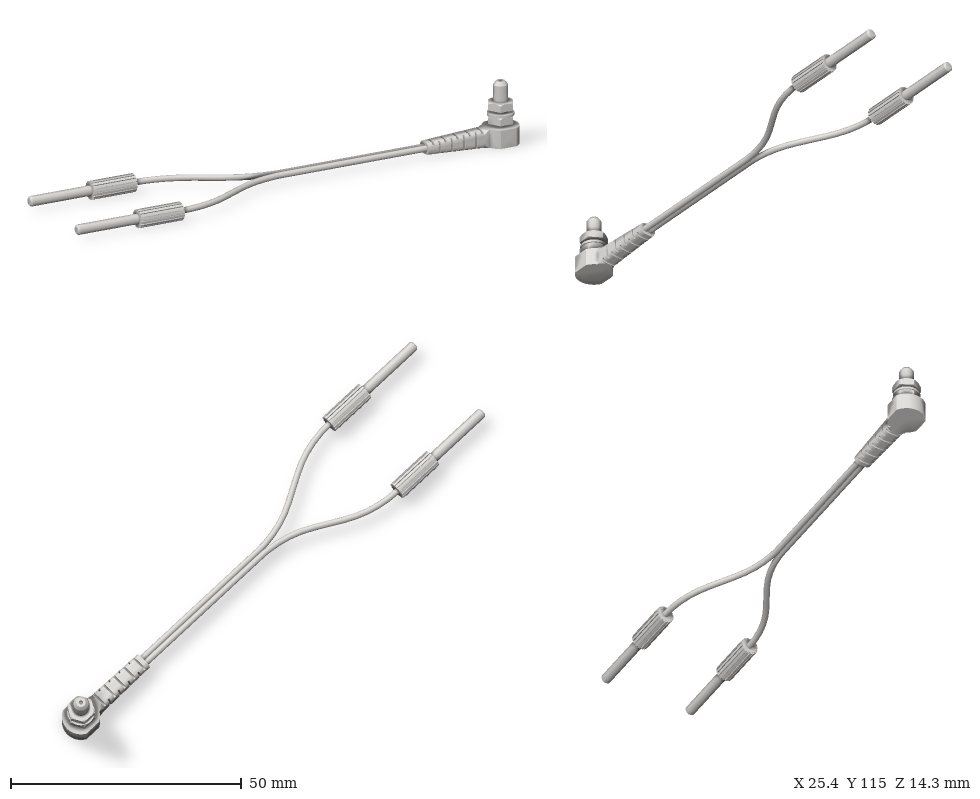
import cadquery as cq
import math


total_length = 115.0
head_radius = 4.1
head_half_height = 2.1
head_flat_x = 3.7

stud_radius = 1.6
stud_top_z = 12.2
stud_shoulder_radius = 1.4
stud_shoulder_z = 11.7
stud_tip_radius = 1.0
stud_taper_start_z = 11.4
stud_tip_hole_radius = 0.5
stud_tip_hole_depth = 0.8
nut_across_flats = 5.4
nut_height = 1.7
nut_chamfer_radius = 2.8
nut_chamfer_height = 0.3
washer_radius = 3.0
washer_height = 0.6
lower_nut_z = 2.8
upper_nut_z = 5.9
washer_z = lower_nut_z + nut_height

boot_half_width = 2.0
boot_start_y = -5.1
boot_end_y = -18.9
boot_end_half_height = 1.4
boot_start_corner_radius = 1.0
boot_end_corner_radius = 1.3
neck_taper_length = 1.1
neck_end_radius = 2.2
slot_width = 0.5
slot_depth = 0.7
slot_pitch = 3.0
top_slot_count = 5
side_slot_count = top_slot_count - 1
first_top_slot_y = -5.5
first_side_slot_y = first_top_slot_y - slot_pitch / 2

wire_radius = 0.7
wire_offset = 0.63
split_y = -53.7
wire_bend_radius = 26.1

plug_offset = 10.6
sleeve_radius = 2.1
sleeve_start_y = -85.1
sleeve_end_y = -95.8
flute_count = 16
flute_width = 0.2
flute_depth = 0.3
pin_radius = 1.1
pin_chamfer = 0.3
pin_end_y = head_radius - total_length


def rod_toward_minus_y(radius, x, start_y, end_y):
    """Round rod at height Z = 0, from start_y down to end_y."""
    section = cq.Workplane("XZ", origin=(x, start_y, 0)).circle(radius)
    return section.extrude(start_y - end_y)


def disc_on_stud(radius, bottom_z, height):
    return cq.Workplane("XY").workplane(offset=bottom_z).circle(radius).extrude(height)


def make_head():
    """Round head with two parallel side flats."""
    head = disc_on_stud(head_radius, -head_half_height, 2 * head_half_height)
    return head.intersect(cq.Workplane("XY").box(2 * head_flat_x, 2 * head_radius, 2 * head_half_height))


def make_neck():
    """Rectangular neck from the head to the boot, with its corners tapered off at the boot end."""
    neck_length = -boot_start_y
    block = cq.Workplane("XY").box(2 * boot_half_width, neck_length, 2 * head_half_height)
    block = block.translate((0, -neck_length / 2, 0))
    corner_radius = math.hypot(boot_half_width, head_half_height)
    taper_start_y = boot_start_y + neck_taper_length
    envelope = (
        cq.Workplane("XY")
        .polyline([
            (0, 0),
            (corner_radius, 0),
            (corner_radius, taper_start_y),
            (neck_end_radius, boot_start_y),
            (0, boot_start_y),
        ])
        .close()
        .revolve(360, (0, 0, 0), (0, 1, 0))
    )
    return block.intersect(envelope)


def rounded_section(half_height, corner_radius):
    section = cq.Sketch().rect(2 * boot_half_width, 2 * half_height)
    return section.vertices().fillet(corner_radius)


def boot_half_height(y):
    """Half height of the tapered boot at the given Y."""
    fraction = (boot_start_y - y) / (boot_start_y - boot_end_y)
    return head_half_height + fraction * (boot_end_half_height - head_half_height)


def make_boot():
    """Tapered boot with slots that alternate between top and bottom and the two sides."""
    boot_length = boot_start_y - boot_end_y
    start_section = rounded_section(head_half_height, boot_start_corner_radius)
    end_section = rounded_section(boot_end_half_height, boot_end_corner_radius)
    end_section = end_section.moved(cq.Location(cq.Vector(0, 0, boot_length)))
    boot = cq.Workplane("XZ", origin=(0, boot_start_y, 0)).placeSketch(start_section, end_section).loft()
    cutter = cq.Workplane("XY").box(2 * boot_half_width, slot_width, 2 * head_half_height)
    for index in range(top_slot_count):
        top_slot_y = first_top_slot_y - index * slot_pitch
        floor_z = boot_half_height(top_slot_y) - slot_depth
        for side in (1, -1):
            boot = boot.cut(cutter.translate((0, top_slot_y, side * (floor_z + head_half_height))))
    for index in range(side_slot_count):
        side_slot_y = first_side_slot_y - index * slot_pitch
        floor_x = boot_half_width - slot_depth
        for side in (1, -1):
            boot = boot.cut(cutter.translate((side * (floor_x + boot_half_width), side_slot_y, 0)))
    return boot


def make_stud():
    """Stud rising from the head, with a two-step tapered tip and a small centre hole."""
    stud = (
        cq.Workplane("XZ")
        .polyline([
            (0, 0),
            (stud_radius, 0),
            (stud_radius, stud_taper_start_z),
            (stud_shoulder_radius, stud_shoulder_z),
            (stud_tip_radius, stud_top_z),
            (0, stud_top_z),
        ])
        .close()
        .revolve(360, (0, 0, 0), (0, 1, 0))
    )
    hole_bottom_z = stud_top_z - stud_tip_hole_depth
    return stud.cut(disc_on_stud(stud_tip_hole_radius, hole_bottom_z, stud_tip_hole_depth))


def make_wire(side):
    """One wire: straight beside its twin, then an S-bend of two equal arcs out to its plug."""
    start_x = wire_offset
    end_x = plug_offset
    radius = wire_bend_radius
    first_centre = (start_x + radius, split_y)
    second_centre = (end_x - radius, sleeve_start_y)
    across = second_centre[0] - first_centre[0]
    along = first_centre[1] - second_centre[1]
    centre_distance = math.hypot(across, along)
    turn = math.atan2(along, -across) - math.acos(2 * radius / centre_distance)

    def first_arc(angle):
        return (side * (first_centre[0] - radius * math.cos(angle)), split_y - radius * math.sin(angle))

    def second_arc(angle):
        return (side * (second_centre[0] + radius * math.cos(angle)), sleeve_start_y + radius * math.sin(angle))

    path = (
        cq.Workplane("XY")
        .moveTo(side * start_x, split_y)
        .threePointArc(first_arc(turn / 2), first_arc(turn))
        .lineTo(*second_arc(turn))
        .threePointArc(second_arc(turn / 2), second_arc(0))
    )
    bend = cq.Workplane("XZ", origin=(side * start_x, split_y, 0)).circle(wire_radius).sweep(path)
    return rod_toward_minus_y(wire_radius, side * start_x, boot_end_y, split_y).union(bend)


def make_plug(side):
    """Fluted grip sleeve, and the round pin that leaves it."""
    x = side * plug_offset
    sleeve = rod_toward_minus_y(sleeve_radius, x, sleeve_start_y, sleeve_end_y)
    flutes = (
        cq.Workplane("XZ", origin=(x, sleeve_start_y, 0))
        .polarArray(sleeve_radius, 0, 360, flute_count)
        .rect(2 * flute_depth, flute_width)
        .extrude(sleeve_start_y - sleeve_end_y)
    )
    pin = rod_toward_minus_y(pin_radius, x, sleeve_end_y, pin_end_y).faces("<Y").chamfer(pin_chamfer)
    return sleeve.cut(flutes).union(pin)


def make_lead():
    """Connector, twin lead and both plugs as one moulded body."""
    lead = make_head().union(make_neck()).union(make_boot()).union(make_stud())
    for side in (1, -1):
        lead = lead.union(make_wire(side)).union(make_plug(side))
    return lead


def make_nut(bottom_z):
    """Hexagon nut, corners toward +Y and -Y, with the top corners chamfered."""
    corner_radius = nut_across_flats / math.sqrt(3)
    blank = (
        cq.Workplane("XY")
        .workplane(offset=bottom_z)
        .transformed(rotate=(0, 0, 90))
        .polygon(6, 2 * corner_radius)
        .extrude(nut_height)
    )
    top_z = bottom_z + nut_height
    envelope = (
        cq.Workplane("XZ")
        .polyline([
            (stud_radius, bottom_z),
            (corner_radius, bottom_z),
            (corner_radius, top_z - nut_chamfer_height),
            (nut_chamfer_radius, top_z),
            (stud_radius, top_z),
        ])
        .close()
        .revolve(360, (0, 0, 0), (0, 1, 0))
    )
    return blank.intersect(envelope)


def make_washer():
    washer = disc_on_stud(washer_radius, washer_z, washer_height)
    return washer.cut(disc_on_stud(stud_radius, washer_z, washer_height))


lead = make_lead()
nuts = [make_nut(bottom_z) for bottom_z in (lower_nut_z, upper_nut_z)]
washer = make_washer()

result = cq.Compound.makeCompound([lead.val(), *[nut.val() for nut in nuts], washer.val()])